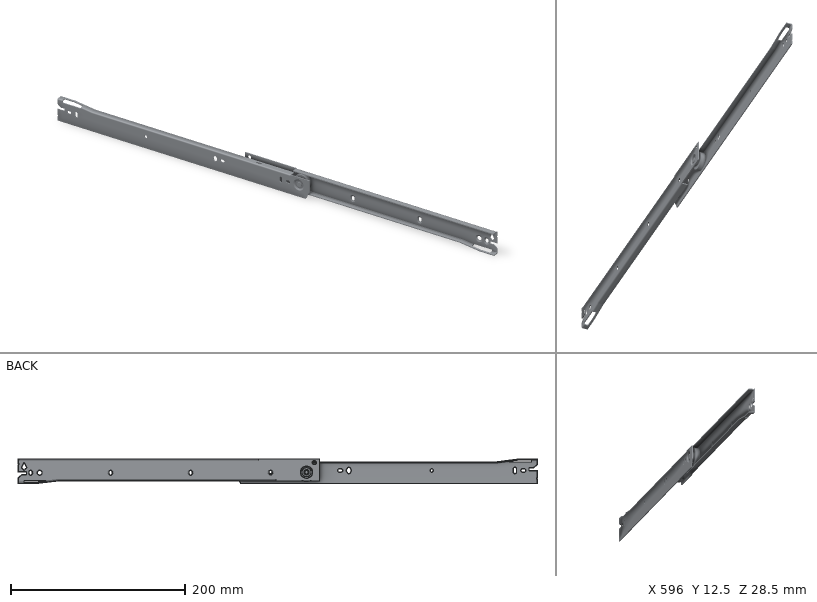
import cadquery as cq
import math

TOTAL_LENGTH = 596.0
TOTAL_WIDTH = 12.5
TOTAL_HEIGHT = 28.5

RAIL_LENGTH = 346.0
SHEET = 1.2
FLANGE_DEPTH = 7.5
BEND_RADIUS = 1.6
INNER_BEND_RADIUS = BEND_RADIUS - SHEET
FRONT_WEB_HEIGHT = 25.0
BACK_WEB_HEIGHT = 25.3
FRONT_FLANGE_LENGTH = 320.0
BACK_FLANGE_LENGTH = 296.0

FLARE_FLAT_END = 20.0
FLARE_END = 47.0
FLARE_SLOT_START = 7.0
FLARE_SLOT_END = 32.0
FLARE_SLOT_DEPTH = 5.0

NOTCH_DEPTH = 9.7
NOTCH_LOW = 15.0
NOTCH_HIGH = 18.2
FUNNEL_DEPTH = 4.5
FUNNEL_HIGH = 21.8
NICK_Z = 6.1
NICK_WIDTH = 1.8
NICK_DEPTH = 0.8

AXLE_X = 331.0
AXLE_Z = 15.4
DIMPLE_RADIUS = 7.6
DIMPLE_FLOOR_RADIUS = 5.8
DIMPLE_HEIGHT = 2.6
DIMPLE_WALL = SHEET / 2
HUB_RADIUS = DIMPLE_FLOOR_RADIUS
ROLLER_Y = 5.5
ROLLER_RADIUS = 10.6
ROLLER_WIDTH = 5.4
RIVET_RADIUS = 2.0
RIVET_HEAD_RADIUS = 3.0
RIVET_HEAD_HEIGHT = 0.8

HOLE_Z = 15.1
SCREW_SLOT_WIDTH = 3.6
TALL_SLOT_LENGTH = 7.2
LONG_SLOT_LENGTH = 5.6
TALL_SLOT_XS = (26.0, 216.5, 306.4)
LONG_SLOT_XS = (16.2, 226.4, 316.3)
ROUND_HOLE_X = 121.3
KEY_HOLE_X = TALL_SLOT_XS[1]
KEY_HOLE_DIAMETER = 5.4
CORNER_LENGTH = 5.5
CORNER_HEIGHT = 10.0
WINDOW_X = 274.0
WINDOW_LENGTH = 7.5
WINDOW_Y = 4.2
WINDOW_WIDTH = 2.4

UPPER_FLANGE_START = 320.0
UPPER_FLANGE_END = 595.0
UPPER_STRIP_HEIGHT = 2 * SHEET
SINK_Z = 12.5
SINK_PITCH = 91.8
SINK_COUNT = 4
SINK_LAST_X = 581.5
SINK_SLOT_WIDTH = 3.6
SINK_SLOT_LENGTH = 5.4
SINK_ROUND_X = 571.2
SINK_ROUND_DIAMETER = 5.4
SINK_MARGIN = 1.9
SINK_ANGLE = math.degrees(math.atan2(SINK_MARGIN, SHEET))
KITE_CENTER_X = 589.0
KITE_CENTER_Z = 18.4
KITE_HALF_WIDTH = 2.9
KITE_UP = 6.0
KITE_DOWN = 3.0
END_HOLE_X = 256.0
END_HOLE_Z = 24.0
END_HOLE_DIAMETER = 4.6


def front_plane(y):
    """Workplane at depth y whose local axes are X and Z, and whose normal is -Y."""
    return cq.Workplane("XZ", origin=(0, y, 0))


def box(x0, x1, y0, y1, z0, z1):
    return cq.Workplane("XY").box(x1 - x0, y1 - y0, z1 - z0, centered=False).translate((x0, y0, z0))


def through_slide(sketch):
    """Extrude a sketch drawn at depth 0 through the full width of the slide."""
    return sketch.extrude(-TOTAL_WIDTH)


def opposite(solid):
    """Reflect through the centre of the slide: turn half round about Y and swap front and back."""
    turned = solid.rotate((0, 0, 0), (0, 1, 0), 180).translate((TOTAL_LENGTH, 0, TOTAL_HEIGHT))
    return turned.mirror("XZ").translate((0, TOTAL_WIDTH, 0))


def bend_edges(solid, height, reach):
    """Edges along the rail on the solid's front face, no lower than the given height."""
    margin = 1.0
    band = cq.selectors.BoxSelector(
        (-margin, -margin, height - margin),
        (TOTAL_LENGTH + margin, reach, TOTAL_HEIGHT + margin),
    )
    return solid.faces("<Y").edges(band)


def flange_outline(length, web_height, drop):
    """Solid beneath the flange's long profile, set in from the sheet's outside by the drop."""
    return (
        front_plane(drop)
        .polyline([
            (0, 0),
            (length, 0),
            (length, web_height - drop),
            (FLARE_END, web_height - drop),
            (FLARE_FLAT_END, TOTAL_HEIGHT - drop),
            (0, TOTAL_HEIGHT - drop),
        ])
        .close()
        .extrude(drop - FLANGE_DEPTH)
    )


def bent_sheet(length, web_height):
    """Web with a flange along its upper edge, the flange rising towards the mouth at X = 0."""
    outside = bend_edges(flange_outline(length, web_height, 0), web_height, SHEET).fillet(BEND_RADIUS)
    lining = flange_outline(length, web_height, SHEET)
    inside = bend_edges(lining, web_height - SHEET, 2 * SHEET).fillet(INNER_BEND_RADIUS)
    return outside.cut(inside)


def mouth_notch():
    return through_slide(
        front_plane(0)
        .polyline([
            (0, NOTCH_LOW),
            (NOTCH_DEPTH, NOTCH_LOW),
            (NOTCH_DEPTH, NOTCH_HIGH),
            (FUNNEL_DEPTH, NOTCH_HIGH),
            (0, FUNNEL_HIGH),
        ])
        .close()
    )


def dimple(radius, floor_radius, height):
    """Cone on the axle, narrowing from the web's outer face to the given height."""
    return cq.Workplane(
        cq.Solid.makeCone(radius, floor_radius, height, cq.Vector(AXLE_X, 0, AXLE_Z), cq.Vector(0, 1, 0))
    )


def axle_cylinder(radius, y0, y1):
    return front_plane(y0).center(AXLE_X, AXLE_Z).circle(radius).extrude(y0 - y1)


def rail_blank(flange_length, web_height):
    """Everything the two rails have in common, placed as in the front rail."""
    tail = box(flange_length, RAIL_LENGTH, 0, SHEET, 0, web_height)
    flare_slot = box(FLARE_SLOT_START, FLARE_SLOT_END, 0, FLARE_SLOT_DEPTH, web_height, TOTAL_HEIGHT)
    nick = box(0, NICK_DEPTH, 0, SHEET, NICK_Z - NICK_WIDTH / 2, NICK_Z + NICK_WIDTH / 2)
    raised = dimple(DIMPLE_RADIUS, DIMPLE_FLOOR_RADIUS, DIMPLE_HEIGHT)
    recess = dimple(DIMPLE_RADIUS - DIMPLE_WALL, DIMPLE_FLOOR_RADIUS - DIMPLE_WALL, DIMPLE_HEIGHT - SHEET)
    rivet_hole = axle_cylinder(RIVET_RADIUS, 0, DIMPLE_HEIGHT)
    blank = bent_sheet(flange_length, web_height).union(tail).cut(flare_slot).cut(nick).cut(mouth_notch())
    return blank.union(raised).cut(recess).cut(rivet_hole)


def roller():
    """Roller with its hub and rivet, whose head lies in the dimple of the front rail."""
    floor_y = DIMPLE_HEIGHT - SHEET
    wheel = axle_cylinder(ROLLER_RADIUS, ROLLER_Y, ROLLER_Y + ROLLER_WIDTH)
    hub = axle_cylinder(HUB_RADIUS, DIMPLE_HEIGHT, ROLLER_Y)
    shank = axle_cylinder(RIVET_RADIUS, floor_y, DIMPLE_HEIGHT)
    head = axle_cylinder(RIVET_HEAD_RADIUS, floor_y - RIVET_HEAD_HEIGHT, floor_y)
    return wheel.union(hub).union(shank).union(head)


def screw_holes():
    tall = front_plane(0).pushPoints([(x, HOLE_Z) for x in TALL_SLOT_XS])
    long = front_plane(0).pushPoints([(x, HOLE_Z) for x in LONG_SLOT_XS])
    pilot = front_plane(0).center(ROUND_HOLE_X, HOLE_Z)
    key = front_plane(0).center(KEY_HOLE_X, HOLE_Z)
    holes = through_slide(tall.slot2D(TALL_SLOT_LENGTH, SCREW_SLOT_WIDTH, 90))
    holes = holes.union(through_slide(long.slot2D(LONG_SLOT_LENGTH, SCREW_SLOT_WIDTH)))
    holes = holes.union(through_slide(pilot.circle(SCREW_SLOT_WIDTH / 2)))
    return holes.union(through_slide(key.circle(KEY_HOLE_DIAMETER / 2)))


def trimmed_corner():
    return through_slide(
        front_plane(0)
        .polyline([
            (RAIL_LENGTH, 0),
            (RAIL_LENGTH, CORNER_HEIGHT),
            (RAIL_LENGTH - CORNER_LENGTH, 0),
        ])
        .close()
    )


def flange_window():
    """Window through the flange above the other rail's roller."""
    return (
        cq.Workplane("XY", origin=(WINDOW_X, WINDOW_Y, FRONT_WEB_HEIGHT - SHEET))
        .rect(WINDOW_LENGTH, WINDOW_WIDTH)
        .extrude(SHEET)
    )


def front_rail():
    blank = rail_blank(FRONT_FLANGE_LENGTH, FRONT_WEB_HEIGHT)
    return blank.cut(screw_holes()).cut(trimmed_corner()).cut(flange_window())


def upper_strip():
    """Space along the top of the back rail that its upper flange and bend fill."""
    return box(
        UPPER_FLANGE_START, UPPER_FLANGE_END,
        TOTAL_WIDTH - FLANGE_DEPTH, TOTAL_WIDTH,
        TOTAL_HEIGHT - UPPER_STRIP_HEIGHT, TOTAL_HEIGHT,
    )


def upper_flange():
    """Second flange of the back rail, with a short length of web below its bend."""
    outside = upper_strip().edges(">Y and >Z").fillet(BEND_RADIUS)
    hollow = upper_strip().translate((0, -SHEET, -SHEET)).edges(">Y and >Z").fillet(INNER_BEND_RADIUS)
    return outside.cut(hollow)


def countersunk_slot(x, length, width):
    """Upright slot through the back web, widening evenly towards the front."""
    return (
        front_plane(TOTAL_WIDTH)
        .center(x, SINK_Z)
        .slot2D(length, width, 90)
        .extrude(SHEET, taper=-SINK_ANGLE)
    )


def countersunk_hole(x, diameter):
    """Round hole through the back web, widening evenly towards the front."""
    return (
        front_plane(TOTAL_WIDTH)
        .center(x, SINK_Z)
        .circle(diameter / 2)
        .extrude(SHEET, taper=-SINK_ANGLE)
    )


def kite_hole():
    return through_slide(
        front_plane(0)
        .center(KITE_CENTER_X, KITE_CENTER_Z)
        .polyline([(-KITE_HALF_WIDTH, 0), (0, KITE_UP), (KITE_HALF_WIDTH, 0), (0, -KITE_DOWN)])
        .close()
    )


def back_rail():
    blank = opposite(rail_blank(BACK_FLANGE_LENGTH, BACK_WEB_HEIGHT))
    rail = blank.cut(upper_strip()).union(upper_flange())
    for index in range(SINK_COUNT):
        x = SINK_LAST_X - index * SINK_PITCH
        rail = rail.cut(countersunk_slot(x, SINK_SLOT_LENGTH, SINK_SLOT_WIDTH))
    rail = rail.cut(countersunk_hole(SINK_ROUND_X, SINK_ROUND_DIAMETER))
    end_hole = front_plane(0).center(END_HOLE_X, END_HOLE_Z).circle(END_HOLE_DIAMETER / 2)
    return rail.cut(kite_hole()).cut(through_slide(end_hole))


rail_in_front = front_rail()
rail_behind = back_rail()
rollers = [roller(), opposite(roller())]

result = cq.Compound.makeCompound([
    rail_in_front.val(),
    rail_behind.val(),
    *[each.val() for each in rollers],
])